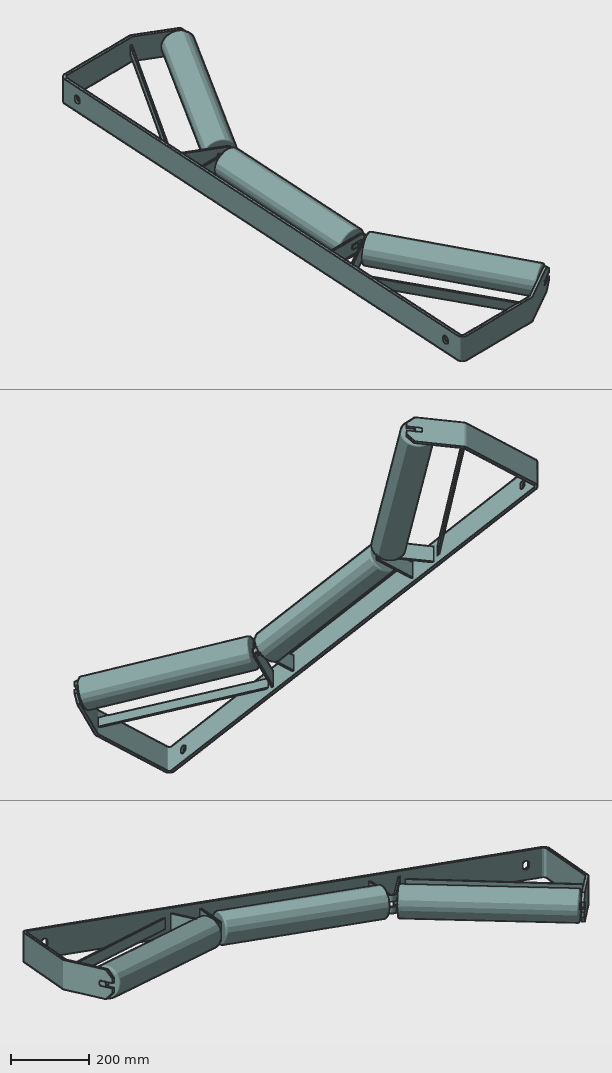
import cadquery as cq
import math

frame_length = 1490.0
frame_width = 80.0
frame_thickness = 8.0
bend_radius = 16.0
corner_cut = 20.0
hole_x = 683.0
hole_width = 18.0
hole_height = 24.0

trough_angle = 30.0
roller_diameter = 89.0
roller_length = 465.0
roller_edge_radius = 5.0
shaft_diameter = 20.0
shaft_flat_width = 14.0
support_spacing = 475.0
support_rise = 30.0
centre_axis_y = 99.0
wing_top_y = 382.47
wing_centre_x = 472.0

bracket_width = 50.0
bracket_thickness = 5.0
bracket_bend_radius = 8.0
brace_width = 30.0
brace_thickness = 5.0
brace_angle = 30.8
brace_foot_x = 340.0

cos_tilt = math.cos(math.radians(trough_angle))
sin_tilt = math.sin(math.radians(trough_angle))
half_length = frame_length / 2
half_spacing = support_spacing / 2
half_shaft = half_spacing + frame_thickness
roller_radius = roller_diameter / 2
rim_centre_along = roller_length / 2 - roller_edge_radius
rim_centre_up = roller_radius - roller_edge_radius
wing_centre_y = wing_top_y - roller_edge_radius - rim_centre_along * sin_tilt - rim_centre_up * cos_tilt


def wing_point(along, up):
    """Point on the +X wing, measured along the roller axis (outward) and above it."""
    x = wing_centre_x + along * cos_tilt - up * sin_tilt
    y = wing_centre_y + along * sin_tilt + up * cos_tilt
    return x, y


def wing_point_at_x(along, x):
    """Point with this X on the plane square to the wing roller axis at `along`."""
    return wing_point(along, (wing_centre_x + along * cos_tilt - x) / sin_tilt)


def wing_point_at_y(along, y):
    """Point with this Y on the plane square to the wing roller axis at `along`."""
    return wing_point(along, (y - wing_centre_y - along * sin_tilt) / cos_tilt)


def plate(points, width):
    """Prism with an XY outline, centred on Z = 0."""
    return cq.Workplane("XY", origin=(0, 0, -width / 2)).polyline(points).close().extrude(width)


def round_bend(body, corner, radius):
    """Round the edge along Z that stands at an XY corner of a plate."""
    edge = cq.selectors.NearestToPointSelector((*corner, 0))
    return body.edges("|Z").edges(edge).fillet(radius)


def other_side(body):
    return body.mirror("YZ")


def on_centre(body):
    """Move a body built about the origin onto the middle roller axis."""
    return body.translate((0, centre_axis_y, 0))


def on_wing(body):
    """Move a body built about the origin onto the +X wing roller axis."""
    turned = body.rotate((0, 0, 0), (0, 0, 1), trough_angle)
    return turned.translate((wing_centre_x, wing_centre_y, 0))


def shaft_bar():
    """Round shaft along X with two flats, centred on the origin."""
    bar = cq.Workplane("YZ", origin=(-half_shaft, 0, 0)).circle(shaft_diameter / 2).extrude(2 * half_shaft)
    return bar.intersect(cq.Workplane("XY").box(2 * half_shaft, shaft_diameter, shaft_flat_width))


def support_slot():
    """Open-topped slot for the shaft in both supports of a roller."""
    opening_length = 2 * (half_shaft + bracket_thickness)
    opening = cq.Workplane("XY").box(opening_length, 2 * support_rise, shaft_flat_width)
    return shaft_bar().union(opening.translate((0, support_rise, 0)))


def make_roller():
    shell = (
        cq.Workplane("YZ", origin=(-roller_length / 2, 0, 0))
        .circle(roller_radius)
        .extrude(roller_length)
        .edges("%CIRCLE")
        .fillet(roller_edge_radius)
    )
    return shell.union(shaft_bar())


def make_frame():
    outer_corner = (half_length, 0)
    outer_bend = wing_point_at_x(half_shaft, half_length)
    outer_tip = wing_point(half_shaft, support_rise)
    inner_tip = wing_point(half_spacing, support_rise)
    inner_bend = wing_point_at_x(half_spacing, half_length - frame_thickness)
    inner_corner = (half_length - frame_thickness, frame_thickness)

    right_half = [outer_corner, outer_bend, outer_tip, inner_tip, inner_bend, inner_corner]
    left_half = [(-x, y) for x, y in reversed(right_half)]
    frame = plate(right_half + left_half, frame_width)

    inner_radius = bend_radius - frame_thickness
    bends = [(outer_corner, bend_radius), (outer_bend, bend_radius),
             (inner_bend, inner_radius), (inner_corner, inner_radius)]
    for (x, y), radius in bends:
        for side in (-1, 1):
            frame = round_bend(frame, (side * x, y), radius)

    tip_x = (outer_tip[0] + inner_tip[0]) / 2
    tip_y = (outer_tip[1] + inner_tip[1]) / 2
    for side in (-1, 1):
        for z in (-frame_width / 2, frame_width / 2):
            edge = cq.selectors.NearestToPointSelector((side * tip_x, tip_y, z))
            frame = frame.edges(edge).chamfer(corner_cut)

    holes = (
        cq.Workplane("XZ")
        .pushPoints([(-hole_x, 0), (hole_x, 0)])
        .slot2D(hole_height, hole_width, 90)
        .extrude(-frame_thickness)
    )
    slot = on_wing(support_slot())
    return frame.cut(holes).cut(slot).cut(other_side(slot))


def make_bracket():
    """Strip bent into a vertical leg, a narrow top and a leg square to the wing roller."""
    top = centre_axis_y + support_rise
    under_top = top - bracket_thickness
    back = half_spacing + bracket_thickness
    outer_bends = [(half_spacing, top), wing_point_at_y(-half_spacing, top)]
    inner_bends = [wing_point_at_y(-back, under_top), (back, under_top)]
    outline = [
        (half_spacing, frame_thickness),
        *outer_bends,
        wing_point_at_y(-half_spacing, frame_thickness),
        wing_point_at_y(-back, frame_thickness),
        *inner_bends,
        (back, frame_thickness),
    ]
    bracket = plate(outline, bracket_width)
    for corner in outer_bends:
        bracket = round_bend(bracket, corner, bracket_bend_radius)
    for corner in inner_bends:
        bracket = round_bend(bracket, corner, bracket_bend_radius - bracket_thickness)
    return bracket.cut(on_centre(support_slot())).cut(on_wing(support_slot()))


def make_brace(frame):
    """Flat bar from the base up to the side wall, trimmed to the rounded bend of the frame."""
    wall_x = half_length - frame_thickness
    slope = math.radians(brace_angle)
    wall_y = frame_thickness + (wall_x - brace_foot_x) * math.tan(slope)
    outline = [
        (brace_foot_x, frame_thickness),
        (wall_x, wall_y),
        (wall_x, wall_y - brace_thickness / math.cos(slope)),
        (brace_foot_x + brace_thickness / math.sin(slope), frame_thickness),
    ]
    return plate(outline, brace_width).cut(frame)


roller = make_roller()
frame = make_frame()
centre_roller = on_centre(roller)
bodies = [frame, centre_roller]
for body in (on_wing(roller), make_bracket(), make_brace(frame)):
    bodies += [body, other_side(body)]

result = cq.Compound.makeCompound([body.val() for body in bodies])